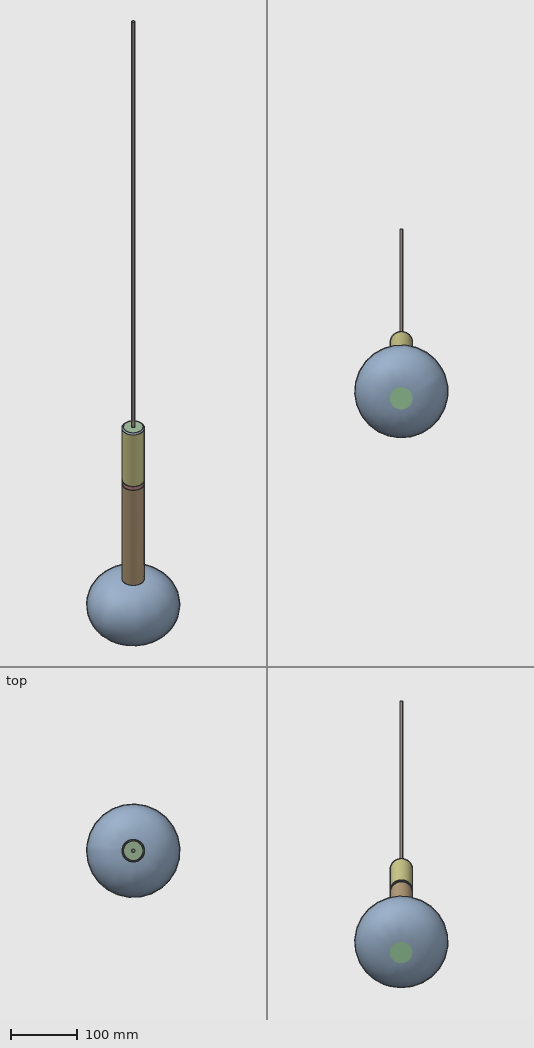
import cadquery as cq

total_height = 1165.0
globe_diameter = 140.0
globe_height = 100.0
stem_diameter = 34.0
stem_length = 290.0
cord_diameter = 5.0

groove_width = 7.0
groove_depth = 0.6
groove_below_stem_top = 101.0

stem_bevel = 2.0

globe_radius = globe_diameter / 2
flat_radius = stem_diameter / 2
stem_bottom = globe_height
stem_top = stem_bottom + stem_length
groove_top = stem_top - groove_below_stem_top
cord_length = total_height - stem_top


def make_globe():
    """Flattened globe: flat discs as wide as the stem, joined by a half-ellipse rim."""
    return (
        cq.Workplane("XZ")
        .lineTo(0, globe_height)
        .lineTo(-flat_radius, globe_height)
        .ellipseArc(globe_radius - flat_radius, globe_height / 2, 90, 270)
        .close()
        .revolve(360, (0, 0, 0), (0, 1, 0))
    )


def make_groove_cutter():
    """Ring that cuts the groove into the stem."""
    return (
        cq.Workplane("XY")
        .workplane(offset=groove_top - groove_width)
        .circle(stem_diameter / 2)
        .circle(stem_diameter / 2 - groove_depth)
        .extrude(groove_width)
    )


def make_stem():
    """Round stem standing on the globe, bevelled at the top and grooved."""
    stem = (
        cq.Workplane("XY")
        .workplane(offset=stem_bottom)
        .circle(stem_diameter / 2)
        .extrude(stem_length)
        .faces(">Z")
        .chamfer(stem_bevel)
    )
    return stem.cut(make_groove_cutter())


def make_cord():
    """Thin cord rising from the stem top."""
    return (
        cq.Workplane("XY")
        .workplane(offset=stem_top)
        .circle(cord_diameter / 2)
        .extrude(cord_length)
    )


globe = make_globe()
stem = make_stem()
cord = make_cord()

result = cq.Compound.makeCompound([globe.val(), stem.val(), cord.val()])